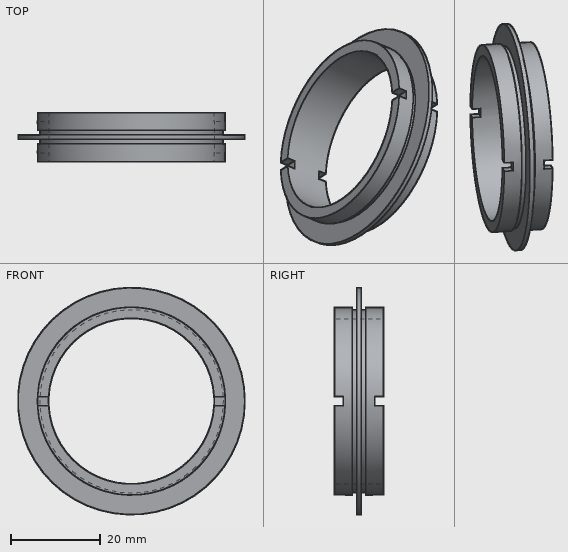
import cadquery as cq

flange_diameter = 50.8
flange_thickness = 1.0
body_diameter = 42.0
body_length = 11.0
bore_diameter = 37.0
groove_diameter = 41.0
groove_span = 3.0
slot_width = 2.0
slot_depth = 2.0


def disc(diameter, length):
    """Solid cylinder on the Y axis, centred at the origin."""
    front_plane = cq.Workplane("XZ", origin=(0, -length / 2, 0))
    return front_plane.circle(diameter / 2).extrude(-length)


def end_slot(side):
    """Bar across the full diameter that notches both walls at one end face."""
    center_y = side * (body_length - slot_depth) / 2
    bar = cq.Workplane("XY").box(flange_diameter, slot_depth, slot_width)
    return bar.translate((0, center_y, 0))


body = disc(body_diameter, body_length)
groove_ring = disc(body_diameter, groove_span).cut(disc(groove_diameter, groove_span))
body = body.cut(groove_ring)
body = body.union(disc(flange_diameter, flange_thickness))

result = body.cut(disc(bore_diameter, body_length))

for side in (-1, 1):
    result = result.cut(end_slot(side))